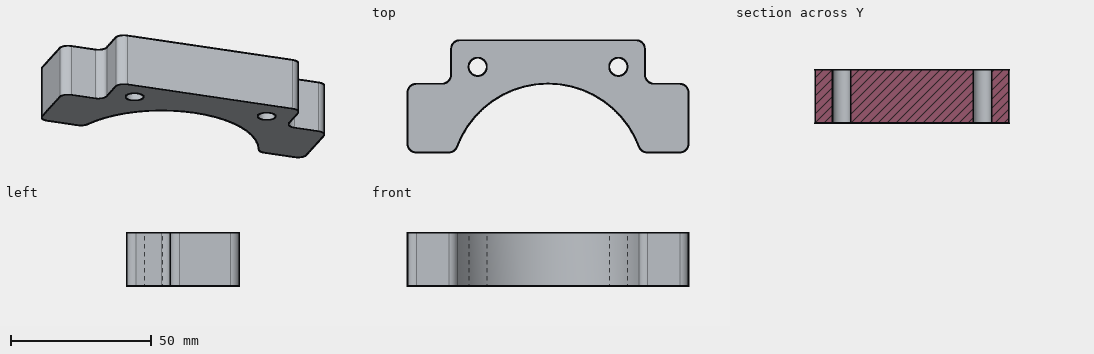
import cadquery as cq

length = 100.0
depth = 40.0
thickness = 19.0

back_width = 69.0
shoulder_y = 24.5
corner_radius = 3.2

saddle_radius = 34.5
saddle_top_y = 24.5
saddle_center_y = saddle_top_y - saddle_radius

hole_diameter = 6.4
hole_spacing = 50.0
hole_y = 30.5


def block(width, block_depth):
    """Full-thickness block centred on X, with its front face at Y = 0."""
    return cq.Workplane("XY").box(width, block_depth, thickness, centered=(True, False, False))


body = block(length, shoulder_y).union(block(back_width, depth))

saddle = cq.Workplane("XY").center(0, saddle_center_y).circle(saddle_radius).extrude(thickness)
body = body.cut(saddle)

body = body.edges("|Z").fillet(corner_radius)

hole_centers = [(side * hole_spacing / 2, hole_y) for side in (-1, 1)]
holes = cq.Workplane("XY").pushPoints(hole_centers).circle(hole_diameter / 2).extrude(thickness)

result = body.cut(holes)